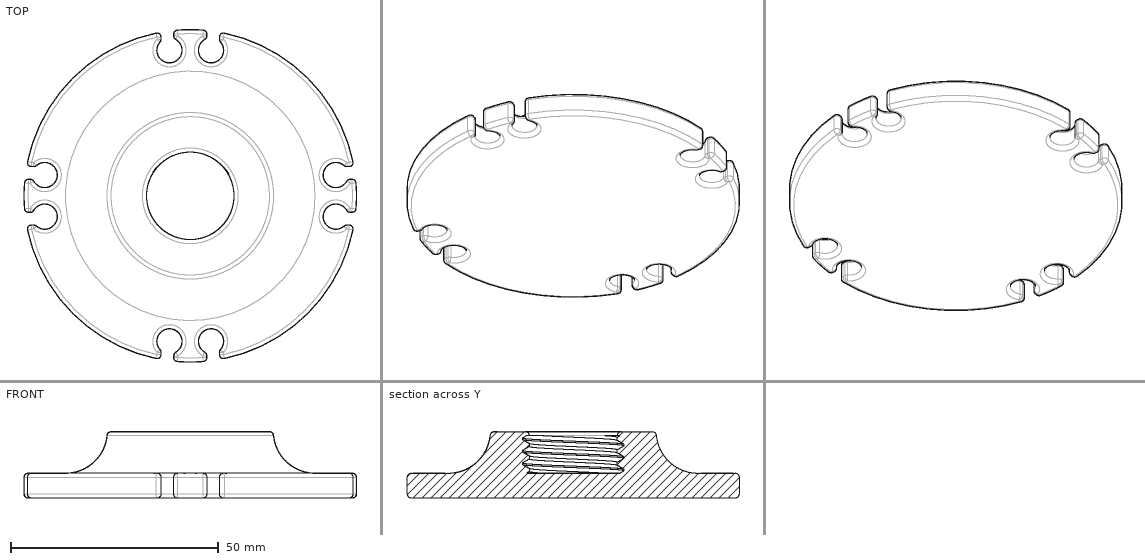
import cadquery as cq
import math

flange_radius = 40.0
flange_height = 6.0
edge_fillet = 1.0

total_height = 16.0
boss_radius = 20.0
flare_radius = total_height - flange_height
flare_foot_radius = boss_radius + flare_radius

notch_pair_count = 4
notch_hole_radius = 3.0
notch_hole_offset = 5.0
notch_hole_distance = 34.99
tab_half_width = 4.0
slot_width = 3.0

bore_radius = 21.0 / 2
bore_floor = 6.0
bore_depth = total_height - bore_floor

thread_root_radius = 24.3 / 2
thread_depth = thread_root_radius - bore_radius
thread_pitch = 3.0
thread_crest_width = thread_pitch / 4
thread_half_angle = 30.0
thread_top = total_height - edge_fillet
thread_start_height = 3.75
thread_turns = 5
groove_overlap = 0.2


def make_notch(side):
    """Keyhole cutter on one side of the +Y tab: a round hole and the slot that opens it."""
    hole = (
        cq.Workplane("XY")
        .center(side * notch_hole_offset, notch_hole_distance)
        .circle(notch_hole_radius)
        .extrude(flange_height)
    )
    slot_length = flange_radius - notch_hole_distance
    slot = (
        cq.Workplane("XY")
        .center(side * (tab_half_width + slot_width / 2), notch_hole_distance + slot_length / 2)
        .rect(slot_width, slot_length)
        .extrude(flange_height)
    )
    return hole.union(slot)


def make_flange():
    """Notched disc with every corner and edge rounded."""
    disc = cq.Workplane("XY").circle(flange_radius).extrude(flange_height)
    for pair in range(notch_pair_count):
        angle = 360 / notch_pair_count * pair
        for side in (-1, 1):
            disc = disc.cut(make_notch(side).rotate((0, 0, 0), (0, 0, 1), angle))
    disc = disc.edges("|Z").fillet(edge_fillet)
    return disc.faces("|Z").edges().fillet(edge_fillet)


def make_boss():
    """Revolved boss with a flared foot and a rounded top edge."""
    diagonal = flare_radius * math.sqrt(0.5)
    flare_middle = (flare_foot_radius - diagonal, total_height - diagonal)
    return (
        cq.Workplane("XZ")
        .lineTo(flare_foot_radius, 0)
        .lineTo(flare_foot_radius, flange_height)
        .threePointArc(flare_middle, (boss_radius, total_height))
        .lineTo(0, total_height)
        .close()
        .revolve(360, (0, 0, 0), (0, 1, 0))
        .faces(">Z")
        .edges()
        .fillet(edge_fillet)
    )


def cut_bore(body):
    """Blind bore from the top with a rounded mouth."""
    cutter = cq.Workplane("XY", origin=(0, 0, bore_floor)).circle(bore_radius).extrude(bore_depth)
    bored = body.cut(cutter)
    return bored.faces(">Z").edges(cq.selectors.RadiusNthSelector(0)).fillet(edge_fillet)


def make_thread_groove():
    """Helical trapezoidal groove, limited to the straight stretch of the bore."""
    slope = math.tan(math.radians(thread_half_angle))
    half_mouth = (thread_pitch - thread_crest_width) / 2
    half_root = half_mouth - thread_depth * slope
    half_inner = half_mouth + groove_overlap * slope
    inner_radius = bore_radius - groove_overlap
    helix = cq.Wire.makeHelix(
        thread_pitch,
        thread_turns * thread_pitch,
        bore_radius,
        cq.Vector(0, 0, thread_start_height),
    )
    groove = (
        cq.Workplane("XZ", origin=(0, 0, thread_start_height))
        .moveTo(inner_radius, -half_inner)
        .lineTo(thread_root_radius, -half_root)
        .lineTo(thread_root_radius, half_root)
        .lineTo(inner_radius, half_inner)
        .close()
        .sweep(cq.Workplane(helix), isFrenet=True)
    )
    threaded_zone = (
        cq.Workplane("XY", origin=(0, 0, bore_floor))
        .circle(boss_radius)
        .extrude(thread_top - bore_floor)
    )
    return groove.intersect(threaded_zone)


body = cut_bore(make_flange().union(make_boss()))
result = body.cut(make_thread_groove())